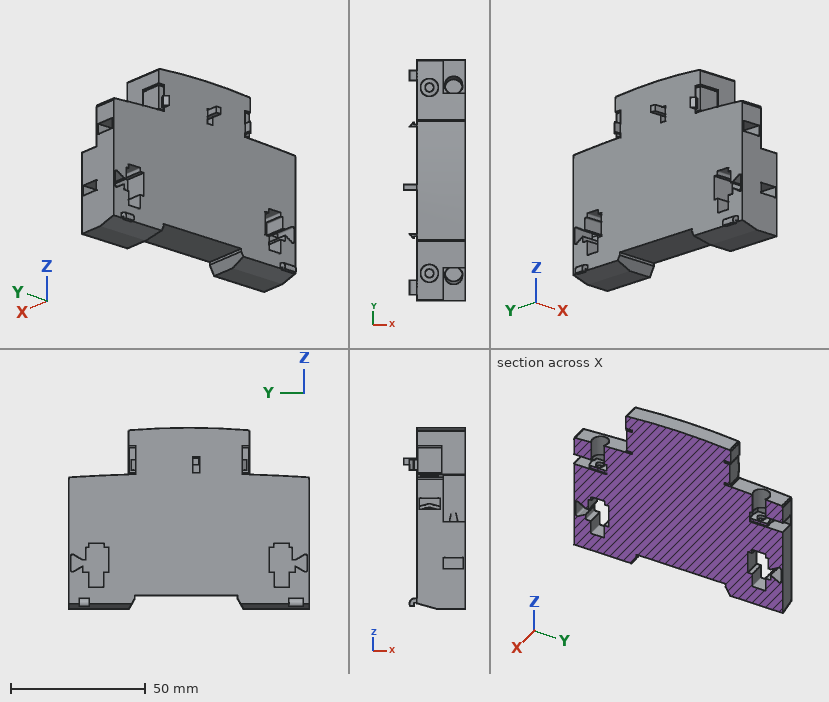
import cadquery as cq
import math

THICKNESS = 18.0
LENGTH = 89.4
HEIGHT = 67.39
HALF_LENGTH = LENGTH / 2

DOME_HALF_LENGTH = 22.5
DOME_RADIUS = 270.0
DOME_CHAMFER = 0.5
SHOULDER_APEX = 50.4
SHOULDER_RADIUS = 700.0
SHOULDER_CHAMFER_Y = 0.3
SHOULDER_CHAMFER_Z = 0.8

NOTCH_TOP = 5.0
NOTCH_KNEE = 3.9
NOTCH_END_PLUS = 20.1
NOTCH_END_MINUS = -18.0
NOTCH_FLARE = 2.2
FOOT_CHAMFER_X = 7.5
FOOT_CHAMFER_Z = 2.1

STEP_X = 9.7
STEP_Y = 32.4
STEP_Z = 32.5

UPPER_SLOT = (0.75, 8.7, 37.1, 41.2)
LOWER_SLOT = (STEP_X, 17.25, 15.05, 19.1)
SLOT_DEPTH = 14.0

SCREW_X = 4.6
SCREW_Y = 34.5
SCREW_WELL_DIAMETER = 6.6
CLAMP_HOLE_DIAMETER = 3.2
CLAMP_RIDGE_Z = 39.1
CLAMP_RIDGE_WIDTH = 1.5
CLAMP_SLOPE = 15.0
CLAMP_THICKNESS = 1.3
CLAMP_LENGTH = 7.4

TILTED_WELL_X = 13.6
TILTED_WELL_Y = 35.33
TILTED_WELL_DIAMETER = 6.6
TILTED_WELL_ANGLE = 5.0
TILTED_WELL_RISE = 12.0

LATCH_WINDOW_X = 9.2
LATCH_WINDOW_Y = 19.85
LATCH_WINDOW_TOP = 60.6
LATCH_WINDOW_BOTTOM = 50.05
LATCH_GAP = 0.6
LATCH_RECESS = 0.3
LATCH_FACE_INSET = 0.3
HOOK_REACH = 2.8
HOOK_NECK_LENGTH = 1.1
HOOK_FLAT = 0.3
HOOK_NECK_WIDTH = 0.9
HOOK_WIDTH = 1.65
HOOK_BOTTOM = 51.6
HOOK_TOP = 55.5

PIN_REACH = 5.0
PIN_SLOT = (-3.95, -1.45, 50.65, 56.6)
PIN_SLOT_DEPTH = 3.0
PIN_WIDTH = 2.15
PIN_BOTTOM = 53.55
PIN_TOP = 56.05

FOOT_HOOKS = ((37.0, 40.8), (-42.5, -37.05))
FOOT_HOOK_REACH = 2.8
FOOT_HOOK_RADIUS = 2.0
FOOT_HOOK_TOP = 4.05
FOOT_HOOK_BOTTOM = 1.15
FOOT_HOOK_THICKNESS = 1.75

CAVITY_DEPTH = 9.3
CAVITY_INNER_Y = 29.8
CAVITY_TOP = 22.9
CAVITY_BOTTOM = 13.65
CAVITY_CORNER = 0.35
CAVITY_UPPER_OUTER_Y = 38.4
CAVITY_LOWER_OUTER_Y = 39.5
TAB_OUTER_Y = 37.3
UPPER_TAB_INNER_Y = 31.5
UPPER_TAB_TOP = 24.45
LOWER_TAB_INNER_Y = 31.7
LOWER_TAB_BOTTOM = 8.05
FAN_NECK_TOP = 18.3
FAN_NECK_BOTTOM = 15.9
FAN_OUTER_Y = 43.85
FAN_SPREAD = 2.5
FAN_CORNER = 0.6

OVERLAP = 0.5


def block(x0, x1, y0, y1, z0, z1):
    """Axis-aligned box between two opposite corners."""
    return cq.Workplane("XY").box(x1 - x0, y1 - y0, z1 - z0, centered=False).translate((x0, y0, z0))


def both_ends(shape):
    """Shape at the +Y end together with its mirror image at the -Y end."""
    return shape.union(shape.mirror("XZ"))


def dome_z(y):
    return HEIGHT - DOME_RADIUS + math.sqrt(DOME_RADIUS**2 - y**2)


def shoulder_z(y):
    return SHOULDER_APEX - SHOULDER_RADIUS + math.sqrt(SHOULDER_RADIUS**2 - y**2)


def housing():
    dome_crown_y = DOME_HALF_LENGTH - DOME_CHAMFER
    dome_edge_z = dome_z(dome_crown_y)
    shoulder_y = HALF_LENGTH - SHOULDER_CHAMFER_Y
    shoulder_edge_z = shoulder_z(shoulder_y)
    end_z = shoulder_edge_z - SHOULDER_CHAMFER_Z
    shoulder_mid_y = (shoulder_y + DOME_HALF_LENGTH) / 2
    shoulder_mid = shoulder_z(shoulder_mid_y)
    shoulder_root = shoulder_z(DOME_HALF_LENGTH)
    profile = (
        cq.Workplane("YZ")
        .moveTo(-HALF_LENGTH, 0)
        .lineTo(-HALF_LENGTH, end_z)
        .lineTo(-shoulder_y, shoulder_edge_z)
        .threePointArc((-shoulder_mid_y, shoulder_mid), (-DOME_HALF_LENGTH, shoulder_root))
        .lineTo(-DOME_HALF_LENGTH, dome_edge_z - DOME_CHAMFER)
        .lineTo(-dome_crown_y, dome_edge_z)
        .threePointArc((0, HEIGHT), (dome_crown_y, dome_edge_z))
        .lineTo(DOME_HALF_LENGTH, dome_edge_z - DOME_CHAMFER)
        .lineTo(DOME_HALF_LENGTH, shoulder_root)
        .threePointArc((shoulder_mid_y, shoulder_mid), (shoulder_y, shoulder_edge_z))
        .lineTo(HALF_LENGTH, end_z)
        .lineTo(HALF_LENGTH, 0)
        .lineTo(NOTCH_END_PLUS + NOTCH_FLARE, 0)
        .lineTo(NOTCH_END_PLUS, NOTCH_KNEE)
        .lineTo(NOTCH_END_PLUS, NOTCH_TOP)
        .lineTo(NOTCH_END_MINUS, NOTCH_TOP)
        .lineTo(NOTCH_END_MINUS, NOTCH_KNEE)
        .lineTo(NOTCH_END_MINUS - NOTCH_FLARE, 0)
        .close()
    )
    foot_corner = (
        cq.Workplane("XZ")
        .polyline([(0, 0), (FOOT_CHAMFER_X, 0), (0, FOOT_CHAMFER_Z)])
        .close()
        .extrude(HALF_LENGTH, both=True)
    )
    return profile.extrude(THICKNESS).cut(foot_corner)


def end_steps():
    return both_ends(block(STEP_X, THICKNESS, STEP_Y, HALF_LENGTH, STEP_Z, HEIGHT))


def wire_slots():
    slots = cq.Workplane("XY")
    for x0, x1, z0, z1 in (UPPER_SLOT, LOWER_SLOT):
        slots = slots.add(block(x0, x1, HALF_LENGTH - SLOT_DEPTH, HALF_LENGTH, z0, z1))
    return both_ends(slots.combine())


def screw_wells():
    well = (
        cq.Workplane("XY", origin=(SCREW_X, SCREW_Y, UPPER_SLOT[2]))
        .circle(SCREW_WELL_DIAMETER / 2)
        .extrude(HEIGHT - UPPER_SLOT[2])
    )
    return both_ends(well)


def tilted_wells():
    slot_top = LOWER_SLOT[3]
    depth = STEP_Z - slot_top + OVERLAP
    well = (
        cq.Workplane("XY", origin=(TILTED_WELL_X, TILTED_WELL_Y, STEP_Z - depth))
        .circle(TILTED_WELL_DIAMETER / 2)
        .extrude(depth + TILTED_WELL_RISE)
    )
    pivot = (TILTED_WELL_X, TILTED_WELL_Y, STEP_Z)
    pivot_end = (TILTED_WELL_X + 1, TILTED_WELL_Y, STEP_Z)
    return both_ends(well.rotate(pivot, pivot_end, -TILTED_WELL_ANGLE))


def clamp_plates():
    """Roof-shaped plate with a rounded ridge along Y, spanning the upper slot."""
    x0, x1, floor_z, _ = UPPER_SLOT
    slope = math.tan(math.radians(CLAMP_SLOPE))
    half_ridge = CLAMP_RIDGE_WIDTH / 2
    ridge_drop = half_ridge * math.tan(math.radians(CLAMP_SLOPE / 2))

    def side_z(x):
        return CLAMP_RIDGE_Z - ridge_drop - (abs(x - SCREW_X) - half_ridge) * slope

    plate = (
        cq.Workplane("XZ")
        .moveTo(x0, side_z(x0))
        .lineTo(SCREW_X - half_ridge, side_z(SCREW_X - half_ridge))
        .threePointArc((SCREW_X, CLAMP_RIDGE_Z), (SCREW_X + half_ridge, side_z(SCREW_X + half_ridge)))
        .lineTo(x1, side_z(x1))
        .lineTo(x1, side_z(x1) - CLAMP_THICKNESS)
        .lineTo(SCREW_X, CLAMP_RIDGE_Z - CLAMP_THICKNESS)
        .lineTo(x0, side_z(x0) - CLAMP_THICKNESS)
        .close()
        .extrude(CLAMP_LENGTH / 2, both=True)
        .translate((0, SCREW_Y, 0))
    )
    hole = (
        cq.Workplane("XY", origin=(SCREW_X, SCREW_Y, floor_z))
        .circle(CLAMP_HOLE_DIAMETER / 2)
        .extrude(CLAMP_RIDGE_Z - floor_z)
    )
    return both_ends(plate.cut(hole))


def latch_windows():
    window = block(
        0, LATCH_WINDOW_X, LATCH_WINDOW_Y, DOME_HALF_LENGTH, LATCH_WINDOW_BOTTOM, LATCH_WINDOW_TOP
    )
    return both_ends(window)


def latches():
    """Latch blocks set in the windows, each with a barbed hook at the mating face."""
    body = block(
        LATCH_FACE_INSET,
        LATCH_WINDOW_X,
        LATCH_WINDOW_Y,
        DOME_HALF_LENGTH - LATCH_RECESS,
        LATCH_WINDOW_BOTTOM + LATCH_GAP,
        LATCH_WINDOW_TOP - LATCH_GAP,
    )
    neck_y = LATCH_WINDOW_Y + HOOK_NECK_WIDTH
    hook = (
        cq.Workplane("XY", origin=(0, 0, HOOK_BOTTOM))
        .polyline(
            [
                (OVERLAP, LATCH_WINDOW_Y),
                (-HOOK_REACH, LATCH_WINDOW_Y),
                (-HOOK_NECK_LENGTH - HOOK_FLAT, LATCH_WINDOW_Y + HOOK_WIDTH),
                (-HOOK_NECK_LENGTH, LATCH_WINDOW_Y + HOOK_WIDTH),
                (-HOOK_NECK_LENGTH, neck_y),
                (OVERLAP, neck_y),
            ]
        )
        .close()
        .extrude(HOOK_TOP - HOOK_BOTTOM)
    )
    return both_ends(body.union(hook))


def pin_slot():
    y0, y1, z0, z1 = PIN_SLOT
    return block(0, PIN_SLOT_DEPTH, y0, y1, z0, z1)


def trip_pin():
    y1 = PIN_SLOT[1]
    return block(-PIN_REACH, PIN_SLOT_DEPTH + OVERLAP, y1 - PIN_WIDTH, y1, PIN_BOTTOM, PIN_TOP)


def foot_hook(y0, y1):
    """Bar with a round outside that curls down from the mating face."""
    arc_x = FOOT_HOOK_RADIUS - FOOT_HOOK_REACH
    arc_z = FOOT_HOOK_TOP - FOOT_HOOK_RADIUS
    diagonal = FOOT_HOOK_RADIUS * math.sqrt(0.5)
    tip_x = arc_x - math.sqrt(FOOT_HOOK_RADIUS**2 - (arc_z - FOOT_HOOK_BOTTOM) ** 2)
    inner_x = FOOT_HOOK_THICKNESS - FOOT_HOOK_REACH
    inner_z = FOOT_HOOK_TOP - FOOT_HOOK_THICKNESS
    return (
        cq.Workplane("XZ", origin=(0, y1, 0))
        .moveTo(OVERLAP, FOOT_HOOK_TOP)
        .lineTo(arc_x, FOOT_HOOK_TOP)
        .threePointArc((arc_x - diagonal, arc_z + diagonal), (tip_x, FOOT_HOOK_BOTTOM))
        .lineTo(inner_x, FOOT_HOOK_BOTTOM)
        .lineTo(inner_x, inner_z)
        .lineTo(OVERLAP, inner_z)
        .close()
        .extrude(y1 - y0)
    )


def cavities():
    """Blind connector cavity with an upper and a lower tab and a fan towards the end face."""

    def part(y0, y1, z0, z1):
        return block(0, CAVITY_DEPTH, y0, y1, z0, z1)

    upper = part(CAVITY_INNER_Y, CAVITY_UPPER_OUTER_Y, CAVITY_BOTTOM, CAVITY_TOP)
    upper = upper.edges("|X").edges(">Y").edges(">Z").fillet(CAVITY_CORNER)
    lower = part(CAVITY_INNER_Y, CAVITY_LOWER_OUTER_Y, CAVITY_BOTTOM, FAN_NECK_TOP)
    lower = lower.edges("|X").edges(">Y").edges("<Z").fillet(CAVITY_CORNER)
    upper_tab = part(UPPER_TAB_INNER_Y, TAB_OUTER_Y, FAN_NECK_TOP, UPPER_TAB_TOP)
    upper_tab = upper_tab.edges("|X and >Z").fillet(CAVITY_CORNER)
    lower_tab = part(LOWER_TAB_INNER_Y, TAB_OUTER_Y, LOWER_TAB_BOTTOM, FAN_NECK_BOTTOM)
    lower_tab = lower_tab.edges("|X and <Z").fillet(CAVITY_CORNER)
    fan = (
        cq.Workplane("YZ")
        .polyline(
            [
                (CAVITY_LOWER_OUTER_Y, FAN_NECK_TOP),
                (CAVITY_LOWER_OUTER_Y, FAN_NECK_BOTTOM),
                (FAN_OUTER_Y, FAN_NECK_BOTTOM - FAN_SPREAD),
                (FAN_OUTER_Y, FAN_NECK_TOP + FAN_SPREAD),
            ]
        )
        .close()
        .extrude(CAVITY_DEPTH)
        .edges("|X and >Y")
        .fillet(FAN_CORNER)
    )
    return both_ends(upper.union(lower).union(upper_tab).union(lower_tab).union(fan))


result = housing()
for cutter in (
    end_steps(),
    wire_slots(),
    screw_wells(),
    tilted_wells(),
    latch_windows(),
    pin_slot(),
    cavities(),
):
    result = result.cut(cutter)
for addition in (clamp_plates(), latches(), trip_pin()):
    result = result.union(addition)
for first_y, last_y in FOOT_HOOKS:
    result = result.union(foot_hook(first_y, last_y))